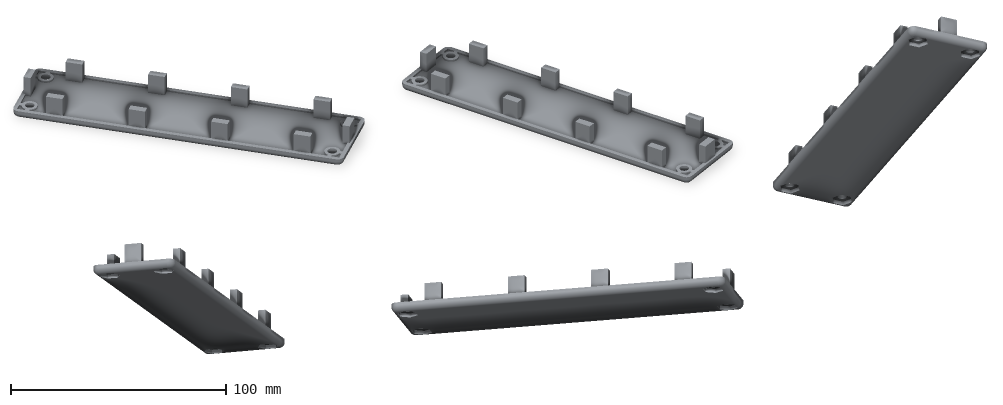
import cadquery as cq
import math

length = 160.0
width = 40.0
base_height = 4.0
corner_radius = 3.0
bottom_fillet = 2.5
wall = base_height / 2
pocket_depth = 1.0

boss_inset = 6.7
boss_diameter = 7.5
hole_diameter = 4.5
rib_width = 2.0

nut_across_flats = 8.5
nut_pocket_depth = 2.0

total_height = 13.0
tab_width = 8.0
tab_thickness = 3.5
end_tab_inset = wall / 2
tabs_per_side = 4

floor_height = base_height - pocket_depth
tab_height = total_height - floor_height
tab_pitch = length / tabs_per_side
side_tab_y = width / 2 - wall - tab_thickness / 2
end_tab_x = length / 2 - end_tab_inset - tab_thickness / 2
boss_x = length / 2 - boss_inset
boss_y = width / 2 - boss_inset
nut_across_corners = nut_across_flats / math.cos(math.pi / 6)


def floor_block(size_x, size_y, height, x, y):
    """Upright block standing on the tray floor, centred on (x, y)."""
    block = cq.Workplane("XY").box(size_x, size_y, height, centered=(True, True, False))
    return block.translate((x, y, floor_height))


def make_tray():
    """Shallow tray with rounded corners and a rounded bottom edge."""
    body = cq.Workplane("XY").box(length, width, base_height, centered=(True, True, False))
    body = body.edges("|Z").fillet(corner_radius)
    body = body.faces("<Z").edges().fillet(bottom_fillet)
    pocket = floor_block(length - 2 * wall, width - 2 * wall, pocket_depth, 0, 0)
    return body.cut(pocket)


def make_boss(side_x, side_y):
    """Round boss with one rib to the end wall and one to the side wall."""
    x = side_x * boss_x
    y = side_y * boss_y
    rib_length = boss_inset - wall / 2
    boss = (
        cq.Workplane("XY", origin=(x, y, floor_height))
        .circle(boss_diameter / 2)
        .extrude(pocket_depth)
    )
    end_rib = floor_block(rib_length, rib_width, pocket_depth, x + side_x * rib_length / 2, y)
    side_rib = floor_block(rib_width, rib_length, pocket_depth, x, y + side_y * rib_length / 2)
    return boss.union(end_rib).union(side_rib)


def make_screw_cutter(x, y):
    """Through hole with a hexagonal nut pocket at its lower end."""
    hole = cq.Workplane("XY").circle(hole_diameter / 2).extrude(base_height)
    nut = cq.Workplane("XY").polygon(6, nut_across_corners).extrude(nut_pocket_depth)
    nut = nut.rotate((0, 0, 0), (0, 0, 1), 90)
    return hole.union(nut).translate((x, y, 0))


result = make_tray()

for side_x in (-1, 1):
    for side_y in (-1, 1):
        result = result.union(make_boss(side_x, side_y))
        result = result.cut(make_screw_cutter(side_x * boss_x, side_y * boss_y))

for side in (-1, 1):
    for index in range(tabs_per_side):
        tab_x = (index + 0.5) * tab_pitch - length / 2
        tab = floor_block(tab_width, tab_thickness, tab_height, tab_x, side * side_tab_y)
        result = result.union(tab)

    tab = floor_block(tab_thickness, tab_width, tab_height, side * end_tab_x, 0)
    result = result.union(tab)